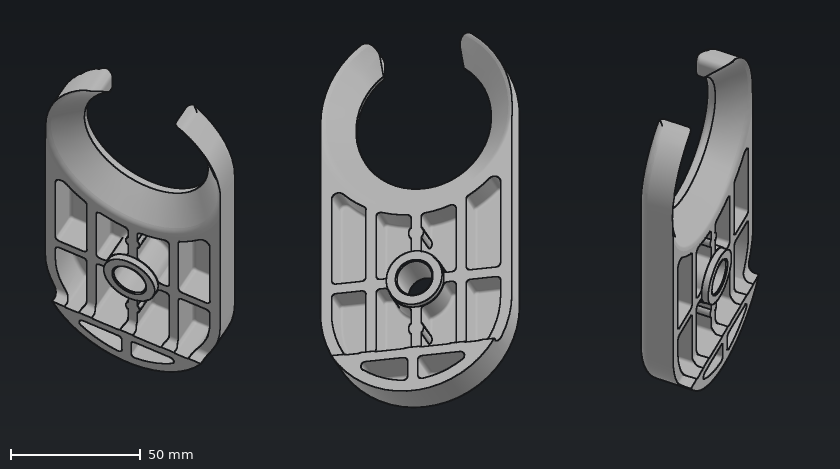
import cadquery as cq
import math


outer_r = 38.26
lower_arc_z = -80.0
gap_half = 16.0
tip_r = 4.0

body_depth = 15.0
toe_depth = 20.0
toe_top_z = -100.0
toe_blend_r = 3.0
back_outer_r = 4.0
back_inner_r = 2.1

bore_r = 27.0
land_end = 4.0
cone_end = 13.5
cone_end_r = 36.5
rim_r = 39.9

boss_z = -70.0
boss_r = 11.15
boss_base_r = 11.35
boss_depth = 17.8
boss_bore_r = 7.0
boss_bore_chamfer = 0.5

floor_thickness = 2.5
rib = 4.0
outer_rib_x = 18.0
pocket_outer_r = outer_r - 4.5
pocket_top_r = 42.3
toe_pocket_top_z = -104.0
pocket_end_z = toe_top_z - 0.3
corner_r = 1.8
acute_corner_r = 2.7
floor_r = 1.4
pin_r = 3.0
pin_offset = 20.0


def disc(radius, z, depth):
    """Round bar along Y, starting at the back face."""
    return cq.Workplane("XZ").center(0, z).circle(radius).extrude(depth)


def block(x_min, x_max, z_min, z_max, depth):
    """Box between two x and two z limits, starting at the back face."""
    center = ((x_min + x_max) / 2, (z_min + z_max) / 2)
    return cq.Workplane("XZ").center(*center).rect(x_max - x_min, z_max - z_min).extrude(depth)


def stadium(radius, depth):
    """Straight-sided plate with round ends about the ring axis and the lower arc center."""
    plate = disc(radius, 0, depth).union(disc(radius, lower_arc_z, depth))
    return plate.union(block(-radius, radius, lower_arc_z, 0, depth))


def hook_plate():
    """Plate with the ring bore open at the top and both tips rounded."""
    tip_x = gap_half + tip_r
    tip_z = math.sqrt((outer_r - tip_r) ** 2 - tip_x**2)
    tip_angle = math.atan2(tip_z, tip_x)
    shoulder = (outer_r * math.cos(tip_angle), outer_r * math.sin(tip_angle))
    side_mid = (outer_r * math.cos(tip_angle / 2), outer_r * math.sin(tip_angle / 2))
    tip_mid_angle = (tip_angle + math.pi) / 2
    tip_mid = (tip_x + tip_r * math.cos(tip_mid_angle), tip_z + tip_r * math.sin(tip_mid_angle))
    bore_z = math.sqrt(bore_r**2 - gap_half**2)

    def mirrored(point):
        return (-point[0], point[1])

    plate = (
        cq.Workplane("XZ")
        .moveTo(gap_half, bore_z)
        .lineTo(gap_half, tip_z)
        .threePointArc(tip_mid, shoulder)
        .threePointArc(side_mid, (outer_r, 0))
        .lineTo(outer_r, lower_arc_z)
        .threePointArc((0, lower_arc_z - outer_r), (-outer_r, lower_arc_z))
        .lineTo(-outer_r, 0)
        .threePointArc(mirrored(side_mid), mirrored(shoulder))
        .threePointArc(mirrored(tip_mid), (-gap_half, tip_z))
        .lineTo(-gap_half, bore_z)
        .threePointArc((0, -bore_r), (gap_half, bore_z))
        .close()
        .extrude(toe_depth)
    )
    return plate.faces(">Y").edges().fillet(back_inner_r)


def toe_step():
    """Space in front of the body above the thicker toe, with a concave blend at its foot."""
    blend_center_y = -body_depth - toe_blend_r
    blend_center_z = toe_top_z + toe_blend_r
    half_step = toe_blend_r * math.sqrt(0.5)
    top_z = outer_r
    return (
        cq.Workplane("YZ")
        .moveTo(-toe_depth, top_z)
        .lineTo(-body_depth, top_z)
        .lineTo(-body_depth, blend_center_z)
        .threePointArc(
            (blend_center_y + half_step, blend_center_z - half_step),
            (blend_center_y, toe_top_z),
        )
        .lineTo(-toe_depth, toe_top_z)
        .close()
        .extrude(outer_r, both=True)
    )


def bore_mouth():
    """Conical mouth of the ring, ending in a convex rim tangent to cone and front face."""
    cone_angle = math.atan2(cone_end_r - bore_r, cone_end - land_end)
    rim_radius = (rim_r - cone_end_r) / math.cos(cone_angle)
    rim_center_y = -body_depth + rim_radius
    bisector = (math.pi / 2 - cone_angle) / 2 + cone_angle
    rim_mid = (rim_r - rim_radius * math.cos(bisector), rim_center_y - rim_radius * math.sin(bisector))
    rim_start_y = rim_center_y - rim_radius * math.sin(cone_angle)
    return (
        cq.Workplane("XY")
        .moveTo(0, -land_end)
        .lineTo(bore_r, -land_end)
        .lineTo(cone_end_r, rim_start_y)
        .threePointArc(rim_mid, (rim_r, -body_depth))
        .lineTo(0, -body_depth)
        .close()
        .revolve(360, (0, 0, 0), (0, 1, 0))
    )


def pocket(area):
    """Raise a pocket area to the floor and round the edge around that floor."""
    above_floor = area.translate((0, -floor_thickness, 0))
    return above_floor.faces(">Y").edges().fillet(floor_r)


def pockets():
    """Pockets of the +X half, with rounded upright corners."""
    interior = stadium(pocket_outer_r, toe_depth).cut(disc(pocket_top_r, 0, toe_depth))
    boss = disc(boss_base_r, boss_z, toe_depth)
    inner_x = (rib / 2, outer_rib_x - rib / 2)
    outer_x = (outer_rib_x + rib / 2, outer_r)
    upper_z = (boss_z + rib / 2, 0)
    lower_z = (pocket_end_z, boss_z - rib / 2)
    toe_z = (lower_arc_z - outer_r, toe_pocket_top_z)

    def area(x_range, z_range):
        return interior.intersect(block(*x_range, *z_range, toe_depth))

    areas = [
        area(inner_x, upper_z).cut(boss),
        area(inner_x, lower_z).cut(boss),
        area(outer_x, lower_z),
        area((rib / 2, outer_r), toe_z),
    ]
    rounded = [plain.edges("|Y").fillet(corner_r) for plain in areas]
    tall = area(outer_x, upper_z).edges("|Y").edges("not >Z").fillet(corner_r)
    rounded.append(tall.edges("|Y").edges(">Z").fillet(acute_corner_r))
    return [pocket(plan) for plan in rounded]


def boss_bore():
    """Through hole of the boss with a small chamfer at its front rim."""
    drill = disc(boss_bore_r, boss_z, boss_depth)
    rim = (
        cq.Workplane("XZ", origin=(0, -boss_depth, boss_z))
        .circle(boss_bore_r + boss_bore_chamfer)
        .workplane(offset=-boss_bore_chamfer)
        .circle(boss_bore_r)
        .loft()
    )
    return drill.union(rim)


round_back = stadium(outer_r, toe_depth).faces(">Y").edges().fillet(back_outer_r)
result = hook_plate().intersect(round_back)
result = result.cut(toe_step()).cut(bore_mouth())
for cutter in pockets():
    result = result.cut(cutter).cut(cutter.mirror("YZ"))
for pin_z in (boss_z - pin_offset, boss_z + pin_offset):
    result = result.union(disc(pin_r, pin_z, body_depth))
result = result.union(disc(boss_r, boss_z, boss_depth)).cut(boss_bore())